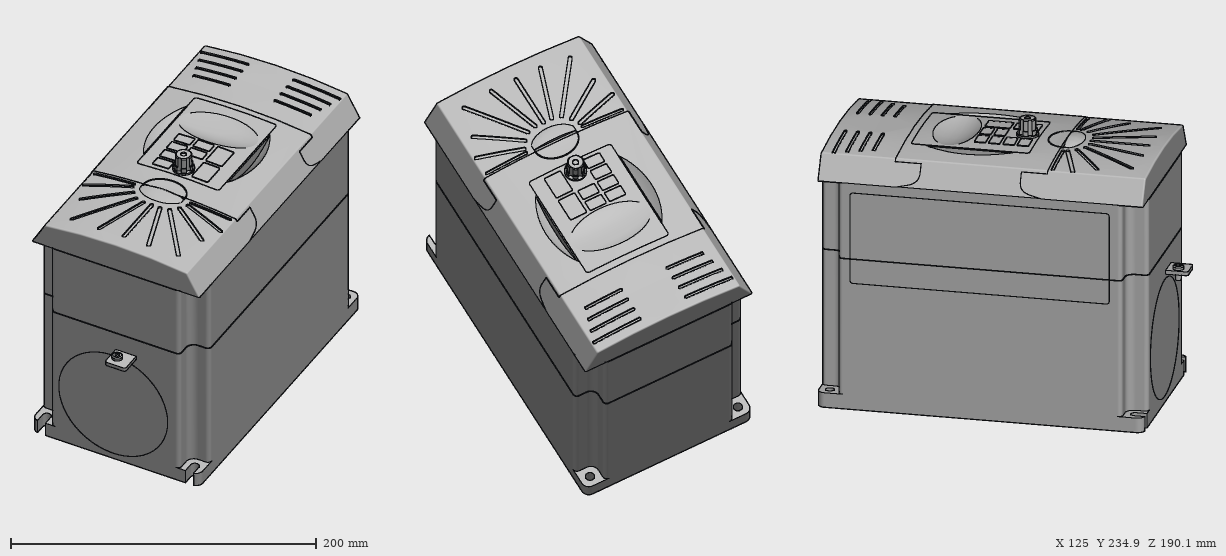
import cadquery as cq
import math

WIDTH = 124.97
TOTAL_DEPTH = 234.95
TOTAL_HEIGHT = 190.11
TAB_LENGTH = 15.0
DEPTH = TOTAL_DEPTH - TAB_LENGTH
BIG = 2 * TOTAL_DEPTH

BODY_TOP = 157.3
NOTCH = 14.4
NOTCH_ARC = 5.7
NOTCH_LIP = 3.0
FOOT_HEIGHT = 10.2
FOOT_RADIUS = 5.2
MOUNT_INSET = 7.2
MOUNT_WIDTH = 6.0
SEAM_Z = 104.7
SEAM_SIZE = 0.3
PORT_X, PORT_Z, PORT_RADIUS = -1.7, 45.0, 40.7
LABEL_Y, LABEL_Z = 110.3, 119.5
LABEL_LENGTH, LABEL_HEIGHT, LABEL_RADIUS = 174.5, 63.0, 2.0
FACE_RELIEF = 0.15

COVER_GAP = 0.5
RIM_TOP = 157.6
SHOULDER_X, SHOULDER_Z = 53.2, 174.0
CREST_Z = 177.6
SHOULDER_RADIUS = 1.6
COVER_END_RADIUS = 1.2

DOOR_RISE = 0.25
DOOR_FRONT, DOOR_BACK = 66.6, 169.0
DOOR_MIDDLE = (DOOR_FRONT + DOOR_BACK) / 2
DOOR_EDGE_Z = 172.3
DOOR_WAIST = 67.5
DOOR_CURVE_Z = 167.0
DOOR_FOOT = 100.0

PAD_Y = 124.3
PAD_WIDTH, PAD_LENGTH, PAD_RADIUS = 63.2, 81.4, 3.0
PAD_RISE = 0.5
PAD_STEP = 0.9
DISH_HALF_WIDTH, DISH_HALF_LENGTH, DISH_DEPTH = 41.0, 47.0, 19.5
DISPLAY_Y = 140.2
DISPLAY_HALF_WIDTH, DISPLAY_HALF_LENGTH, DISPLAY_DEPTH = 31.6, 13.9, 3.0
BUTTON_RISE = 1.1
KEY_COLUMNS = (-14.5, 0.0)
KEY_WIDTH, KEY_LENGTH, KEY_RADIUS = 12.2, 7.6, 0.8
KEY_TOP_Y, KEY_PITCH = 120.1, 9.6
KEY_ROWS = (4, 2)
LONG_KEY_X, LONG_KEY_LENGTH, LONG_KEY_PITCH = 14.7, 17.0, 19.2

KNOB_Y = 92.8
KNOB_BASE_RADIUS, KNOB_SKIRT_RADIUS, KNOB_RADIUS = 7.3, 6.4, 5.6
KNOB_BASE_TOP, KNOB_SKIRT_TOP = 179.3, 182.5
KNOB_FLUTES, FLUTE_RADIUS, FLUTE_START = 6, 1.6, 30
KNOB_CHAMFER = 0.7
KNOB_HOLLOW_RADIUS, KNOB_HOLLOW_DEPTH = 2.0, 1.0

BADGE_Y, BADGE_RIDGE_Y = 66.4, 65.0
BADGE_HALF_WIDTH, BADGE_HALF_LENGTH, BADGE_RISE = 15.7, 12.0, 2.4
BADGE_OUTLINE_DEPTH, BADGE_OUTLINE_WIDTH = 0.4, 0.4

VENT_WIDTH, VENT_DEPTH = 2.0, 1.0
VENT_INNER_X = 16.4
VENT_OUTER_X = (52.0, 49.2, 46.6, 44.0)
VENT_BACK_Y, VENT_PITCH = 211.2, 8.4
RAY_WIDTH, RAY_DEPTH = 2.6, 1.0
RAY_CENTRE_Y = 68.2
RAYS = ((0, 17.5, 57.6), (18.0, 18.7, 60.8), (35.9, 20.2, 69.0), (54.0, 20.2, 57.0), (70.6, 20.8, 55.2))
LEVEL_RAY_Y, LEVEL_RAY_INNER, LEVEL_RAY_OUTER, LEVEL_RAY_WIDTH = 64.0, 20.2, 51.5, 2.0

TAB_X, TAB_WIDTH, TAB_BOTTOM, TAB_THICK, TAB_RADIUS = 7.9, 15.3, 88.7, 2.7, 1.8
SCREW_X, SCREW_Y = 5.4, -7.4
SCREW_HEAD_RADIUS, SCREW_HEAD_HEIGHT, SCREW_CHAMFER = 3.6, 2.5, 0.8
SCREW_RADIUS, SCREW_BOTTOM = 1.9, 83.7
SOCKET_ACROSS, SOCKET_DEPTH = 3.6, 1.2


def prism(x_size, y_size, x, y):
    """Tall rectangular column used to bound features on the cover."""
    return cq.Workplane("XY").center(x, y).rect(x_size, y_size).extrude(BIG)


def crown(rise):
    """Cover cross-section run along the whole depth, its top raised by rise."""
    half = WIDTH / 2
    return (
        cq.Workplane("XZ", origin=(0, DEPTH - COVER_GAP, 0))
        .moveTo(-half, BODY_TOP)
        .lineTo(half, BODY_TOP)
        .lineTo(half, RIM_TOP + rise)
        .lineTo(SHOULDER_X + rise, SHOULDER_Z + rise)
        .threePointArc((0, CREST_Z + rise), (-SHOULDER_X - rise, SHOULDER_Z + rise))
        .lineTo(-half, RIM_TOP + rise)
        .close()
        .extrude(DEPTH - 2 * COVER_GAP)
        .edges("|Y")
        .edges(">Z")
        .fillet(SHOULDER_RADIUS)
    )


def above_sunk_surface(shape, depth):
    """Part of a tall column that lies above a surface sunk by depth into the cover."""
    return shape.cut(crown(-depth))


def ellipsoid(half_width, half_length, cap, y, z):
    """Ellipsoid whose cap of the given height meets the level z in the given ellipse."""
    radius = (half_length**2 / cap + cap) / 2
    half_axis = half_width * radius / half_length
    return (
        cq.Workplane("XY")
        .ellipseArc(half_axis, radius, 0, 180, startAtCurrent=False)
        .close()
        .revolve(360, (0, 0, 0), (1, 0, 0))
        .translate((0, y, z + cap - radius))
    )


def hollow(half_width, half_length, depth, y):
    """Rounded cutter that sinks an ellipse to the given depth below the crest."""
    return ellipsoid(half_width, half_length, depth, y, 0).mirror("XY").translate((0, 0, CREST_Z))


def notch_cutter(height, inset):
    """Corner notch with a coved root and rounded lips, at a corner lying on the Z axis.

    The inset moves the notch walls into the body.
    """
    outer = NOTCH + NOTCH_LIP
    wall = NOTCH + inset
    cove_start = NOTCH - NOTCH_ARC
    cove_middle = cove_start + (NOTCH_ARC + inset) * math.sqrt(0.5)
    lip_reach = (NOTCH_LIP - inset) * math.sqrt(0.5)
    lip_near = NOTCH_LIP - lip_reach
    lip_far = outer - lip_reach
    return (
        cq.Workplane("XY")
        .moveTo(-NOTCH_LIP, -NOTCH_LIP)
        .lineTo(-NOTCH_LIP, outer)
        .lineTo(inset, outer)
        .threePointArc((lip_near, lip_far), (NOTCH_LIP, wall))
        .lineTo(cove_start, wall)
        .threePointArc((cove_middle, cove_middle), (wall, cove_start))
        .lineTo(wall, NOTCH_LIP)
        .threePointArc((lip_far, lip_near), (outer, inset))
        .lineTo(outer, -NOTCH_LIP)
        .close()
        .extrude(height)
    )


def at_four_corners(shape):
    """Copies of a -X, -Y corner shape placed at all four corners of the body."""
    corner = shape.translate((-WIDTH / 2, 0, 0))
    front = corner.union(corner.mirror("YZ"))
    back = front.mirror("XZ", (0, DEPTH / 2, 0))
    return front.union(back)


def column_section(height, inset=0):
    """Notched body section from the base up to height, shrunk all round by inset."""
    block = cq.Workplane("XY").center(0, DEPTH / 2)
    block = block.rect(WIDTH - 2 * inset, DEPTH - 2 * inset).extrude(height)
    return block.cut(at_four_corners(notch_cutter(height, inset)))


def make_feet():
    """Base plate with rounded corners, open slots in front and round holes behind."""
    plate = cq.Workplane("XY").center(0, DEPTH / 2).rect(WIDTH, DEPTH).extrude(FOOT_HEIGHT)
    plate = plate.edges("|Z").fillet(FOOT_RADIUS)
    for side in (-1, 1):
        x = side * (WIDTH / 2 - MOUNT_INSET)
        for y in (MOUNT_INSET, DEPTH - MOUNT_INSET):
            hole = cq.Workplane("XY").center(x, y).circle(MOUNT_WIDTH / 2).extrude(FOOT_HEIGHT)
            plate = plate.cut(hole)
        slot = cq.Workplane("XY").center(x, 0).rect(MOUNT_WIDTH, 2 * MOUNT_INSET).extrude(FOOT_HEIGHT)
        plate = plate.cut(slot)
    return plate


def make_body():
    """Notched housing on its feet, with seam, cable port face and label recess."""
    upper = column_section(BODY_TOP).intersect(
        cq.Workplane("XY", origin=(0, 0, FOOT_HEIGHT)).rect(BIG, BIG).extrude(BODY_TOP)
    )
    body = make_feet().union(upper)

    core = column_section(BODY_TOP, SEAM_SIZE)
    band = cq.Workplane("XY", origin=(0, 0, SEAM_Z)).rect(BIG, BIG).extrude(SEAM_SIZE)
    port = cq.Workplane("XZ").center(PORT_X, PORT_Z).circle(PORT_RADIUS).extrude(-FACE_RELIEF)
    label = (
        cq.Workplane("YZ", origin=(-WIDTH / 2, LABEL_Y, LABEL_Z))
        .rect(LABEL_LENGTH, LABEL_HEIGHT)
        .extrude(FACE_RELIEF)
        .edges("|X")
        .fillet(LABEL_RADIUS)
    )
    return body.cut(band.cut(core)).cut(port).cut(label)


def make_cover():
    """Crowned cover with rounded front and back rims."""
    cover = crown(0)
    ends = cover.faces("<Y or >Y").edges("not(<Z)")
    rims = ends.filter(lambda edge: edge.Center().z > RIM_TOP)
    return rims.fillet(COVER_END_RADIUS)


def make_door():
    """Door skin: full length on top, waisted on the slopes and flared again at the rim."""
    half = (DOOR_BACK - DOOR_FRONT) / 2
    waist = DOOR_WAIST / 2
    foot = DOOR_FOOT / 2
    side_shape = (
        cq.Workplane("YZ", origin=(-WIDTH / 2, DOOR_MIDDLE, 0))
        .moveTo(-foot, BODY_TOP)
        .lineTo(foot, BODY_TOP)
        .spline([(waist, DOOR_CURVE_Z)], tangents=[(-1, 0.35), (0, 1)], includeCurrent=True)
        .lineTo(waist, DOOR_EDGE_Z)
        .lineTo(half, DOOR_EDGE_Z)
        .lineTo(half, TOTAL_HEIGHT)
        .lineTo(-half, TOTAL_HEIGHT)
        .lineTo(-half, DOOR_EDGE_Z)
        .lineTo(-waist, DOOR_EDGE_Z)
        .lineTo(-waist, DOOR_CURVE_Z)
        .spline([(-foot, BODY_TOP)], tangents=[(0, -1), (-1, -0.35)], includeCurrent=True)
        .close()
        .extrude(WIDTH)
    )
    return crown(DOOR_RISE).intersect(side_shape)


def key_positions():
    """Centre and length of every button."""
    keys = []
    for x, rows in zip(KEY_COLUMNS, KEY_ROWS):
        for row in range(rows):
            keys.append((x, KEY_TOP_Y - row * KEY_PITCH, KEY_LENGTH))
    long_top = KEY_TOP_Y - KEY_PITCH / 2
    for row in range(2):
        keys.append((LONG_KEY_X, long_top - row * LONG_KEY_PITCH, LONG_KEY_LENGTH))
    return keys


def add_keypad(cover):
    """Finger dish, keypad plate with its stepped border, display hollow and buttons."""
    dish = hollow(DISH_HALF_WIDTH, DISH_HALF_LENGTH, DISH_DEPTH, PAD_Y)
    dish = dish.intersect(prism(WIDTH, PAD_LENGTH - 2 * PAD_RADIUS, 0, PAD_Y))
    column = prism(PAD_WIDTH, PAD_LENGTH, 0, PAD_Y).edges("|Z").fillet(PAD_RADIUS)
    inner = prism(PAD_WIDTH - 2 * PAD_STEP, PAD_LENGTH - 2 * PAD_STEP, 0, PAD_Y)
    inner = inner.edges("|Z").fillet(PAD_RADIUS - PAD_STEP)
    plate = crown(0).intersect(column).union(crown(PAD_RISE).intersect(inner))
    display = hollow(DISPLAY_HALF_WIDTH, DISPLAY_HALF_LENGTH, DISPLAY_DEPTH, DISPLAY_Y)

    cover = cover.cut(dish).union(plate.cut(display))
    for x, y, length in key_positions():
        key = prism(KEY_WIDTH, length, x, y).edges("|Z").fillet(KEY_RADIUS)
        cover = cover.union(crown(BUTTON_RISE).intersect(key))
    return cover


def make_knob():
    """Fluted knob standing on a flared base."""
    def disc(radius, bottom, top):
        return cq.Workplane("XY", origin=(0, KNOB_Y, bottom)).circle(radius).extrude(top - bottom)

    base = disc(KNOB_BASE_RADIUS, BODY_TOP, KNOB_BASE_TOP)
    grip = disc(KNOB_RADIUS, BODY_TOP, TOTAL_HEIGHT).faces(">Z").edges().chamfer(KNOB_CHAMFER)
    grip = grip.union(disc(KNOB_SKIRT_RADIUS, BODY_TOP, KNOB_SKIRT_TOP))
    flutes = (
        cq.Workplane("XY", origin=(0, KNOB_Y, KNOB_BASE_TOP))
        .polarArray(KNOB_SKIRT_RADIUS, FLUTE_START, 360, KNOB_FLUTES)
        .circle(FLUTE_RADIUS)
        .extrude(TOTAL_HEIGHT)
    )
    top_hollow = disc(KNOB_HOLLOW_RADIUS, TOTAL_HEIGHT - KNOB_HOLLOW_DEPTH, TOTAL_HEIGHT)
    return base.union(grip.cut(flutes)).cut(top_hollow)


def add_badge(cover):
    """Elliptical badge: outline groove on the door and a bulge in front of it."""
    outline = cq.Workplane("XY").center(0, BADGE_Y).ellipse(BADGE_HALF_WIDTH, BADGE_HALF_LENGTH).extrude(BIG)
    inside = (
        cq.Workplane("XY")
        .center(0, BADGE_Y)
        .ellipse(BADGE_HALF_WIDTH - BADGE_OUTLINE_WIDTH, BADGE_HALF_LENGTH - BADGE_OUTLINE_WIDTH)
        .extrude(BIG)
    )
    cover = cover.cut(above_sunk_surface(outline.cut(inside), BADGE_OUTLINE_DEPTH))
    front_length = BADGE_HALF_LENGTH - (BADGE_Y - BADGE_RIDGE_Y)
    dome = ellipsoid(BADGE_HALF_WIDTH, front_length, BADGE_RISE, BADGE_RIDGE_Y, CREST_Z)
    front_half = prism(2 * BADGE_HALF_WIDTH, BADGE_HALF_LENGTH, 0, BADGE_RIDGE_Y - BADGE_HALF_LENGTH / 2)
    above_body = cq.Workplane("XY", origin=(0, 0, SHOULDER_Z)).rect(BIG, BIG).extrude(BIG)
    return cover.union(dome.intersect(front_half).intersect(above_body))


def bar(inner, outer, width):
    """Round-ended column lying along -Y from the origin between two distances."""
    middle = -(inner + outer) / 2
    return cq.Workplane("XY").center(0, middle).slot2D(outer - inner, width, 90).extrude(BIG)


def cut_vents(cover):
    """Straight vents at the back and a fan of rays around the badge in front."""
    for row, outer in enumerate(VENT_OUTER_X):
        y = VENT_BACK_Y - row * VENT_PITCH
        length = outer - VENT_INNER_X
        vent = prism(length, VENT_WIDTH, VENT_INNER_X + length / 2, y)
        vent = above_sunk_surface(vent.edges("|Z and <X").chamfer(VENT_WIDTH / 3), VENT_DEPTH)
        cover = cover.cut(vent).cut(vent.mirror("YZ"))

    for angle, inner, outer in RAYS:
        ray = bar(inner, outer, RAY_WIDTH)
        for side in (-1, 1):
            turned = ray.rotate((0, 0, 0), (0, 0, 1), side * angle)
            cover = cover.cut(above_sunk_surface(turned.translate((0, RAY_CENTRE_Y, 0)), RAY_DEPTH))

    level_ray = bar(LEVEL_RAY_INNER, LEVEL_RAY_OUTER, LEVEL_RAY_WIDTH).rotate((0, 0, 0), (0, 0, 1), 90)
    level_ray = above_sunk_surface(level_ray.translate((0, LEVEL_RAY_Y, 0)), RAY_DEPTH)
    return cover.cut(level_ray).cut(level_ray.mirror("YZ"))


def make_earth_tab():
    """Flat tab on the front face carrying a socket-head screw."""
    tab_top = TAB_BOTTOM + TAB_THICK
    tab = (
        cq.Workplane("XY", origin=(TAB_X, -TAB_LENGTH / 2, TAB_BOTTOM))
        .rect(TAB_WIDTH, TAB_LENGTH)
        .extrude(TAB_THICK)
        .edges("|Z and <Y")
        .fillet(TAB_RADIUS)
    )
    screw_axis = cq.Workplane("XY", origin=(SCREW_X, SCREW_Y, tab_top))
    head = screw_axis.circle(SCREW_HEAD_RADIUS).extrude(SCREW_HEAD_HEIGHT)
    head = head.faces(">Z").edges().chamfer(SCREW_CHAMFER)
    shank = screw_axis.circle(SCREW_RADIUS).extrude(SCREW_BOTTOM - tab_top)
    socket = screw_axis.workplane(offset=SCREW_HEAD_HEIGHT - SOCKET_DEPTH)
    socket = socket.polygon(6, SOCKET_ACROSS).extrude(SOCKET_DEPTH)
    return tab.union(head).union(shank).cut(socket)


cover = cut_vents(make_cover()).union(make_door())
cover = add_keypad(cover)
cover = add_badge(cover)
result = make_body().union(cover).union(make_knob()).union(make_earth_tab())